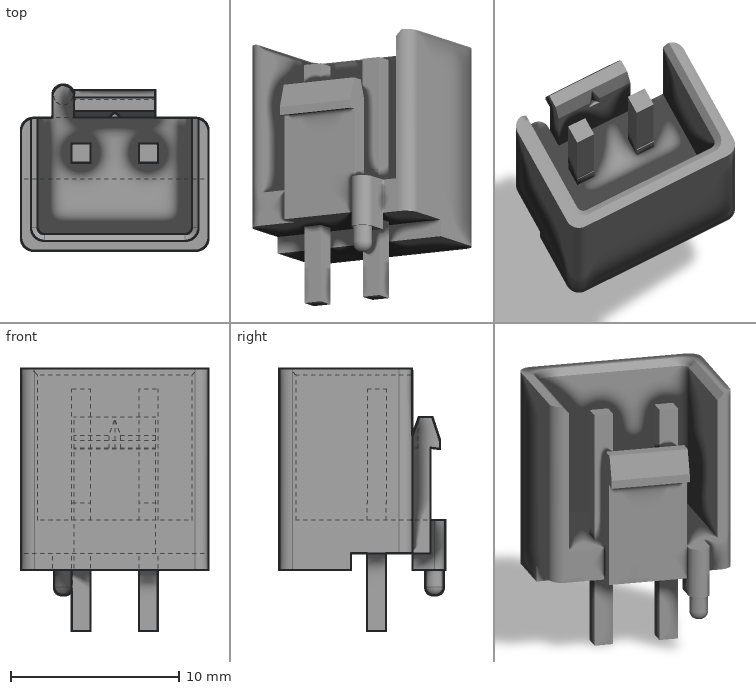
import cadquery as cq


shell_width = 11.17
shell_depth = 7.92
shell_height = 12.0
outer_radius = 0.8
wall = 1.0
cavity_radius = 0.4
mouth_chamfer = 0.4
floor_bottom = 1.0
floor_thickness = 2.0
floor_top = floor_bottom + floor_thickness
foot_depth = 4.29

pin_size = 1.14
pin_pitch = 4.0
pin_center_y = -2.13
pin_bottom = -3.62
pin_recess = 1.22
pin_top = shell_height - pin_recess
pin_step_z = floor_top + 1.0
pin_step = 0.03

latch_width = 4.82
stem_thickness = 1.09
hook_reach = 1.66
hook_top = 9.12
hook_tip_top = 7.7
hook_tip_bottom = 7.2
hook_root_z = 7.27
hook_flat_outer = 1.19
hook_flat_inner = 0.4
hook_lead_height = 1.1
groove_depth = 0.35

post_width = 1.3
post_reach = 1.97
post_radius = post_width / 2
post_center_x = -latch_width / 2 - post_radius
post_center_y = post_reach - post_radius
post_root_fillet = 0.1
peg_radius = 0.56
peg_length = 1.5
peg_tip_fillet = 0.5


def block(x_range, y_range, z_range):
    """Axis-aligned box between pairs of limits."""
    return cq.Workplane("XY").box(
        x_range[1] - x_range[0],
        y_range[1] - y_range[0],
        z_range[1] - z_range[0],
        centered=False,
    ).translate((x_range[0], y_range[0], z_range[0]))


def cavity_outline(z):
    """Cavity outline at height z, running out well past the open back plane."""
    half_width = shell_width / 2 - wall
    front = wall - shell_depth
    sketch = (
        cq.Sketch()
        .push([(0, front + shell_depth)])
        .rect(2 * half_width, 2 * shell_depth)
        .reset()
        .vertices("<Y")
        .fillet(cavity_radius)
    )
    return cq.Workplane("XY", origin=(0, 0, z)).placeSketch(sketch)


def make_shell():
    """Rounded box, open at the top and back, standing on a foot along its front."""
    shell = (
        cq.Workplane("XY")
        .center(0, -shell_depth / 2)
        .rect(shell_width, shell_depth)
        .extrude(shell_height)
        .edges("|Z")
        .fillet(outer_radius)
    )
    cavity = cavity_outline(floor_top).extrude(shell_height - floor_top)
    mouth = cavity_outline(shell_height - mouth_chamfer).extrude(mouth_chamfer, taper=-45)
    under_floor = block(
        (-shell_width, shell_width),
        (foot_depth - shell_depth, shell_depth),
        (0, floor_bottom),
    )
    return shell.cut(cavity).cut(mouth).cut(under_floor)


def pin_pair(center_y, bottom, top):
    """Two square bars side by side between two heights."""
    return (
        cq.Workplane("XY", origin=(0, center_y, bottom))
        .rarray(pin_pitch, 1, 2, 1)
        .rect(pin_size, pin_size)
        .extrude(top - bottom)
    )


def make_pins():
    """Pins running through the floor, their upper length stepped slightly toward the latch."""
    tails = pin_pair(pin_center_y, pin_bottom, pin_step_z)
    blades = pin_pair(pin_center_y + pin_step, pin_step_z, pin_top)
    return tails.union(blades)


def make_latch():
    """Upright arm on the back edge of the floor, with a V groove down the inside of its hook."""
    arm = (
        cq.Workplane("YZ", origin=(-latch_width / 2, 0, 0))
        .moveTo(0, floor_bottom)
        .lineTo(stem_thickness, floor_bottom)
        .lineTo(stem_thickness, hook_root_z)
        .lineTo(hook_reach, hook_tip_bottom)
        .lineTo(hook_reach, hook_tip_top)
        .lineTo(hook_flat_outer, hook_top)
        .lineTo(hook_flat_inner, hook_top)
        .lineTo(0, hook_top - hook_lead_height)
        .close()
        .extrude(latch_width)
    )
    groove = (
        cq.Workplane("XY", origin=(0, 0, hook_root_z))
        .polyline([(-groove_depth, 0), (groove_depth, 0), (0, groove_depth)])
        .close()
        .extrude(hook_top - hook_root_z)
    )
    return arm.cut(groove)


def make_post():
    """Round-backed post with a rounded peg underneath and a small fillet at the floor edge."""
    left = post_center_x - post_radius
    right = post_center_x + post_radius
    post = block((left, right), (0, post_center_y), (0, floor_top))
    post_back = (
        cq.Workplane("XY")
        .center(post_center_x, post_center_y)
        .circle(post_radius)
        .extrude(floor_top)
    )
    peg = (
        cq.Workplane("XY")
        .center(post_center_x, post_center_y)
        .circle(peg_radius)
        .extrude(-peg_length)
        .faces("<Z")
        .edges()
        .fillet(peg_tip_fillet)
    )
    root_fillet = (
        cq.Workplane("XY", origin=(0, 0, floor_bottom))
        .moveTo(left, 0)
        .lineTo(left, post_root_fillet)
        .radiusArc((left - post_root_fillet, 0), post_root_fillet)
        .close()
        .extrude(floor_thickness)
    )
    return post.union(post_back).union(peg).union(root_fillet)


result = make_shell().union(make_pins()).union(make_latch()).union(make_post())